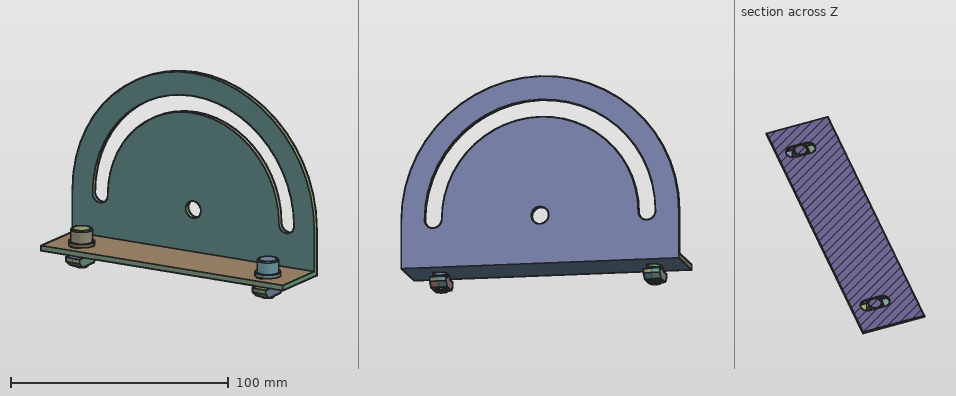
import cadquery as cq
import math

length = 130.0
depth = 30.0
sheet = 2.5
pivot_height = 22.5
arch_radius = length / 2

pivot_diameter = 8.0
arc_slot_radius = 50.0
arc_slot_width = 8.0

bolt_offset = arc_slot_radius
bolt_to_foot_edge = 11.3
bolt_y = bolt_to_foot_edge - depth
foot_slot_length = 13.8
foot_slot_width = 6.5

shank_diameter = 6.0
shank_below_foot = 7.9
shank_chamfer = 0.5
head_diameter = 10.0
head_height = 6.2
head_chamfer = 0.6
washer_diameter = 12.0
washer_thickness = 1.5

nut_width = 7.8
nut_length = 16.4
nut_end_radius = 10.1
nut_taper_setback = 2.7
collar_top = -0.8
nut_body_top = -2.2
nut_taper_top = -4.3
nut_bottom = -6.6


def make_bracket():
    upright = (
        cq.Workplane("XZ")
        .moveTo(-arch_radius, 0)
        .lineTo(-arch_radius, pivot_height)
        .threePointArc((0, pivot_height + arch_radius), (arch_radius, pivot_height))
        .lineTo(arch_radius, 0)
        .close()
        .extrude(sheet)
    )
    foot = cq.Workplane("XY").box(length, depth, sheet, centered=(True, False, False))
    foot = foot.translate((0, -depth, 0))
    foot_slots = (
        cq.Workplane("XY")
        .pushPoints([(-bolt_offset, bolt_y), (bolt_offset, bolt_y)])
        .slot2D(foot_slot_length, foot_slot_width, 90)
        .extrude(sheet)
    )
    pivot_hole = cq.Workplane("XZ").center(0, pivot_height).circle(pivot_diameter / 2).extrude(sheet)
    return upright.union(foot).cut(foot_slots).cut(pivot_hole).cut(make_arc_slot())


def make_arc_slot():
    outer = arc_slot_radius + arc_slot_width / 2
    inner = arc_slot_radius - arc_slot_width / 2
    end_radius = arc_slot_width / 2
    return (
        cq.Workplane("XZ", origin=(0, 0, pivot_height))
        .moveTo(-outer, 0)
        .threePointArc((0, outer), (outer, 0))
        .threePointArc((arc_slot_radius, -end_radius), (inner, 0))
        .threePointArc((0, inner), (-inner, 0))
        .threePointArc((-arc_slot_radius, -end_radius), (-outer, 0))
        .close()
        .extrude(sheet)
    )


def nut_outline(plane, half_length, corner_radius):
    """Rectangle with two opposite corners rounded so that the nut can turn into its groove."""
    half_width = nut_width / 2
    corner_drop = corner_radius - math.sqrt(corner_radius**2 - half_width**2)
    shoulder = half_length - corner_drop
    return (
        plane.moveTo(half_width, -half_length)
        .lineTo(half_width, shoulder)
        .radiusArc((0, half_length), -corner_radius)
        .lineTo(-half_width, half_length)
        .lineTo(-half_width, -shoulder)
        .radiusArc((0, -half_length), -corner_radius)
        .close()
    )


def make_nut():
    half_length = nut_length / 2
    collar_radius = nut_width / 2
    collar_plane = cq.Workplane("XY").workplane(offset=nut_body_top)
    collar = nut_outline(collar_plane, collar_radius, collar_radius).extrude(collar_top - nut_body_top)

    body_plane = cq.Workplane("XY").workplane(offset=nut_taper_top)
    body_outline = nut_outline(body_plane, half_length, nut_end_radius)
    body = body_outline.extrude(nut_body_top - nut_taper_top)

    taper_start = nut_outline(body_plane, half_length, nut_end_radius)
    bottom_plane = taper_start.workplane(offset=nut_bottom - nut_taper_top)
    taper_end = nut_outline(
        bottom_plane,
        half_length - nut_taper_setback,
        nut_end_radius - nut_taper_setback,
    )
    taper = taper_end.loft(ruled=True)
    return body.union(collar).union(taper)


def make_bolt():
    washer = cq.Workplane("XY").workplane(offset=sheet).circle(washer_diameter / 2).extrude(washer_thickness)
    head = (
        cq.Workplane("XY")
        .workplane(offset=sheet + washer_thickness)
        .circle(head_diameter / 2)
        .extrude(head_height)
        .faces(">Z")
        .chamfer(head_chamfer)
    )
    shank = (
        cq.Workplane("XY")
        .workplane(offset=-shank_below_foot)
        .circle(shank_diameter / 2)
        .extrude(shank_below_foot + sheet)
        .faces("<Z")
        .chamfer(shank_chamfer)
    )
    return washer.union(head).union(shank)


fastener = make_bolt().union(make_nut())
result = make_bracket()
for side in (-1, 1):
    result = result.union(fastener.translate((side * bolt_offset, bolt_y, 0)))